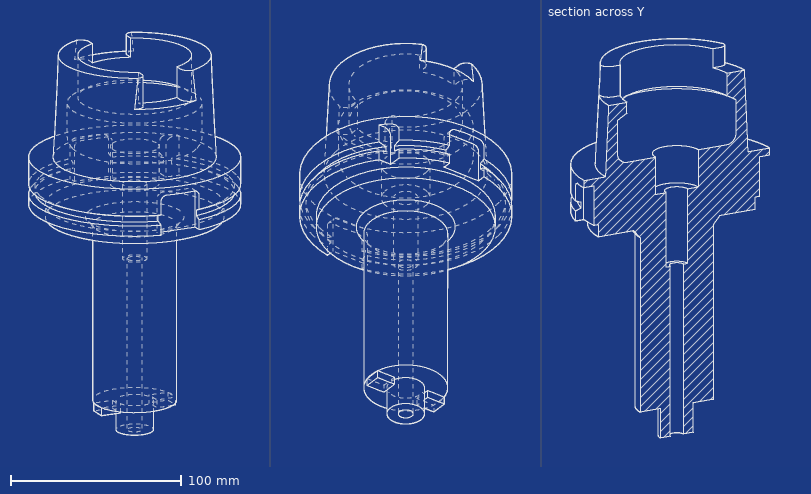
import cadquery as cq
import math


total_length = 231.0
taper_length = 62.8
flange_thickness = 29.0
collar_thickness = 7.6
neck_cone_length = 4.9
pilot_length = 18.2

top_z = total_length
flange_top_z = top_z - taper_length
flange_bottom_z = flange_top_z - flange_thickness
collar_bottom_z = flange_bottom_z - collar_thickness
neck_bottom_z = collar_bottom_z - neck_cone_length

taper_top_radius = 45.0
taper_base_radius = 48.0
flange_diameter = 125.0
flange_radius = flange_diameter / 2
collar_radius = 52.7
neck_top_radius = 29.0
arbor_radius = 24.7
pilot_radius = 11.0

groove_top_z = flange_top_z - 16.6
groove_width = 6.2
groove_depth = 3.7
groove_side_height = 1.5
groove_radius = flange_radius - groove_depth
groove_bottom_z = groove_top_z - groove_width

bore_radius = 33.5
chamber_radius = 39.7
bore_lip_depth = 25.9
chamber_end_depth = 50.0
lip_cone_height = 3.5
floor_corner_radius = chamber_radius - bore_radius
bore_floor_z = top_z - chamber_end_depth - floor_corner_radius

socket_radius = 14.3
socket_depth = 23.0
feed_radius = 7.2
feed_depth = 46.2
coolant_radius = 4.5

slot_width = 25.0
slot_corner_radius = 5.3
slot_round_end = 41.3
slot_depth_minus_x = 11.8
slot_depth_plus_x = 19.0

keyway_top_z = flange_top_z - 4.6
keyway_floor = 55.7
keyway_corner_radius = 3.7
notch_floor = 39.7
notch_inner_y = 39.7
notch_width = 25.0
notch_corner_radius = 4.9

key_width = 10.6
key_height = 4.9
key_inner_y = 12.0
key_outer_y = 24.3

clearance = 11.5

diagonal_factor = math.cos(math.pi / 4)


def turned_body():
    """Outside shape, revolved around the axis."""
    profile = [
        (0, 0),
        (pilot_radius, 0),
        (pilot_radius, pilot_length),
        (arbor_radius, pilot_length),
        (arbor_radius, neck_bottom_z),
        (neck_top_radius, collar_bottom_z),
        (collar_radius, collar_bottom_z),
        (collar_radius, flange_bottom_z),
        (flange_radius, flange_bottom_z),
        (flange_radius, groove_bottom_z),
        (groove_radius, groove_bottom_z + groove_side_height),
        (groove_radius, groove_top_z - groove_side_height),
        (flange_radius, groove_top_z),
        (flange_radius, flange_top_z),
        (taper_base_radius, flange_top_z),
        (taper_top_radius, top_z),
        (0, top_z),
    ]
    return cq.Workplane("XZ").polyline(profile).close().revolve(360, (0, 0), (0, 1))


def inner_cavity():
    """Bore, clamping chamber and stepped through hole."""
    lip_z = top_z - bore_lip_depth
    socket_floor_z = bore_floor_z - socket_depth
    feed_floor_z = socket_floor_z - feed_depth
    corner_top_z = bore_floor_z + floor_corner_radius
    diagonal = floor_corner_radius * diagonal_factor
    stepped_hole = [
        (0, 0),
        (coolant_radius, 0),
        (coolant_radius, feed_floor_z),
        (feed_radius, feed_floor_z),
        (feed_radius, socket_floor_z),
        (socket_radius, socket_floor_z),
        (socket_radius, bore_floor_z),
        (bore_radius, bore_floor_z),
    ]
    return (
        cq.Workplane("XZ")
        .polyline(stepped_hole)
        .threePointArc((bore_radius + diagonal, corner_top_z - diagonal), (chamber_radius, corner_top_z))
        .lineTo(chamber_radius, lip_z - lip_cone_height)
        .lineTo(bore_radius, lip_z)
        .lineTo(bore_radius, top_z)
        .lineTo(0, top_z)
        .close()
        .revolve(360, (0, 0), (0, 1))
    )


def drive_slot(side, depth):
    """Slot through the taper wall on one X side, its mouth rounded outward."""
    half_width = slot_width / 2
    mouth_half_width = half_width + slot_corner_radius
    far_x = side * (taper_base_radius + clearance)
    mouth_x = side * slot_round_end
    straight_end_x = side * (slot_round_end - slot_corner_radius)
    arc_mid_x = straight_end_x + side * slot_corner_radius * diagonal_factor
    arc_mid_y = mouth_half_width - slot_corner_radius * diagonal_factor
    far_half_width = mouth_half_width + clearance
    return (
        cq.Workplane("XY", origin=(0, 0, top_z - depth))
        .moveTo(0, -half_width)
        .lineTo(straight_end_x, -half_width)
        .threePointArc((arc_mid_x, -arc_mid_y), (mouth_x, -mouth_half_width))
        .lineTo(mouth_x, -far_half_width)
        .lineTo(far_x, -far_half_width)
        .lineTo(far_x, far_half_width)
        .lineTo(mouth_x, far_half_width)
        .lineTo(mouth_x, mouth_half_width)
        .threePointArc((arc_mid_x, arc_mid_y), (straight_end_x, half_width))
        .lineTo(0, half_width)
        .close()
        .extrude(depth + clearance)
    )


def rim_cut(side, floor, center_y, width, corner_radius):
    """Flat-floored cut in the flange rim, open outward and downward, with rounded top corners."""
    length = flange_radius + clearance - floor
    height = keyway_top_z - flange_bottom_z
    return (
        cq.Workplane("XY")
        .box(length, width, height)
        .edges("|X and >Z")
        .fillet(corner_radius)
        .translate((side * (floor + length / 2), center_y, flange_bottom_z + height / 2))
    )


def drive_key(side):
    """Key below the arbor shoulder on one Y side."""
    key_length = key_outer_y - key_inner_y
    center_y = side * (key_inner_y + key_outer_y) / 2
    return (
        cq.Workplane("XY", origin=(0, center_y, pilot_length))
        .rect(key_width, key_length)
        .extrude(-key_height)
    )


result = turned_body().cut(inner_cavity())

for side, depth in ((-1, slot_depth_minus_x), (1, slot_depth_plus_x)):
    result = result.cut(drive_slot(side, depth))
    result = result.cut(rim_cut(side, keyway_floor, 0, slot_width, keyway_corner_radius))

notch_center_y = notch_inner_y + notch_width / 2
result = result.cut(rim_cut(-1, notch_floor, notch_center_y, notch_width, notch_corner_radius))

for side in (-1, 1):
    result = result.union(drive_key(side))